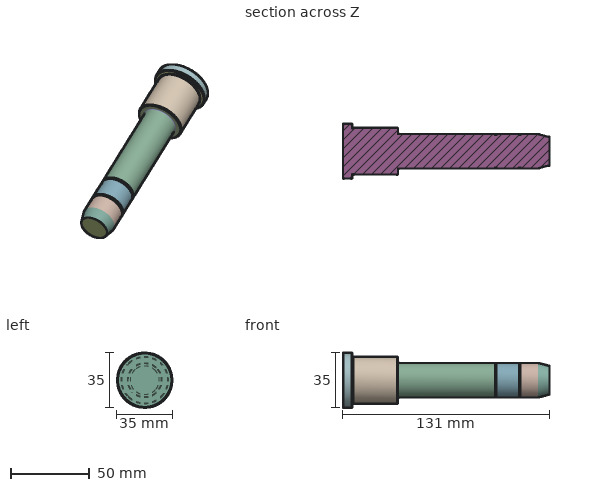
import cadquery as cq
import math

total_length = 131.0

head_diameter = 35.0
head_length = 6.0
head_chamfer = 0.5

shoulder_diameter = 30.0
shoulder_end = 35.0
shoulder_chamfer = 0.5

neck_width = 0.8
neck_depth = 0.5

pin_diameter = 22.0
root_fillet = 0.5

groove_width = 1.0
groove_depth = 0.5
first_groove_center = 97.0
groove_spacing = 15.0
groove_count = 2

nose_length = 7.1
nose_taper_angle = 15.0


def cylinder(diameter, start, end):
    """Solid cylinder on the X axis between two X positions."""
    return cq.Workplane("YZ", origin=(start, 0, 0)).circle(diameter / 2).extrude(end - start)


def make_head():
    return cylinder(head_diameter, 0, head_length).edges().chamfer(head_chamfer)


def make_shoulder():
    """Narrow neck followed by the shoulder with a chamfered end."""
    shoulder_start = head_length + neck_width
    neck = cylinder(shoulder_diameter - 2 * neck_depth, head_length / 2, shoulder_start)
    shoulder = cylinder(shoulder_diameter, shoulder_start, shoulder_end)
    return neck.union(shoulder.faces(">X").edges().chamfer(shoulder_chamfer))


def make_pin():
    """Pin with a concave root fillet at the shoulder and a conical nose."""
    pin_radius = pin_diameter / 2
    nose_radius = pin_radius - nose_length * math.tan(math.radians(nose_taper_angle))
    nose_start = total_length - nose_length
    root_start = (shoulder_end, pin_radius + root_fillet)
    root_end = (shoulder_end + root_fillet, pin_radius)
    profile = (
        cq.Workplane("XZ")
        .moveTo(head_length, 0)
        .lineTo(head_length, root_start[1])
        .lineTo(*root_start)
        .radiusArc(root_end, -root_fillet)
        .lineTo(nose_start, pin_radius)
        .lineTo(total_length, nose_radius)
        .lineTo(total_length, 0)
        .close()
    )
    return profile.revolve(360, (0, 0, 0), (1, 0, 0))


def make_groove(center):
    """Ring with a rounded inner side, to be cut around the pin."""
    pin_radius = pin_diameter / 2
    outer_radius = shoulder_diameter / 2
    start = center - groove_width / 2
    end = center + groove_width / 2
    profile = (
        cq.Workplane("XZ")
        .moveTo(start, outer_radius)
        .lineTo(start, pin_radius)
        .threePointArc((center, pin_radius - groove_depth), (end, pin_radius))
        .lineTo(end, outer_radius)
        .close()
    )
    return profile.revolve(360, (0, 0, 0), (1, 0, 0))


result = make_head().union(make_shoulder()).union(make_pin())
for index in range(groove_count):
    result = result.cut(make_groove(first_groove_center + index * groove_spacing))